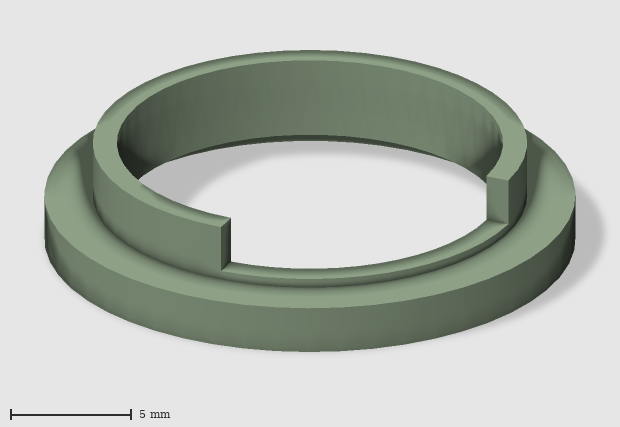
import cadquery as cq

flange_diameter = 22.0
collar_diameter = 18.0
bore_diameter = 16.0
total_height = 4.4
flange_thickness = 2.0
gap_floor_height = 2.4
recess_diameter = 19.0
recess_depth = 1.0


def ring(outer_diameter, height):
    """Ring standing on the base plane, with the common bore."""
    return cq.Workplane("XY").circle(outer_diameter / 2).circle(bore_diameter / 2).extrude(height)


def collar_gap():
    """Quarter-turn wedge centred on +X, with radial faces at 45 degrees."""
    reach = flange_diameter / 2
    return (
        cq.Workplane("XY", origin=(0, 0, gap_floor_height))
        .polyline([(0, 0), (reach, -reach), (reach, reach)])
        .close()
        .extrude(total_height - gap_floor_height)
    )


flange = ring(flange_diameter, flange_thickness)
collar = ring(collar_diameter, total_height).cut(collar_gap())

recess = cq.Workplane("XY").circle(recess_diameter / 2).extrude(recess_depth)

result = flange.union(collar).cut(recess)